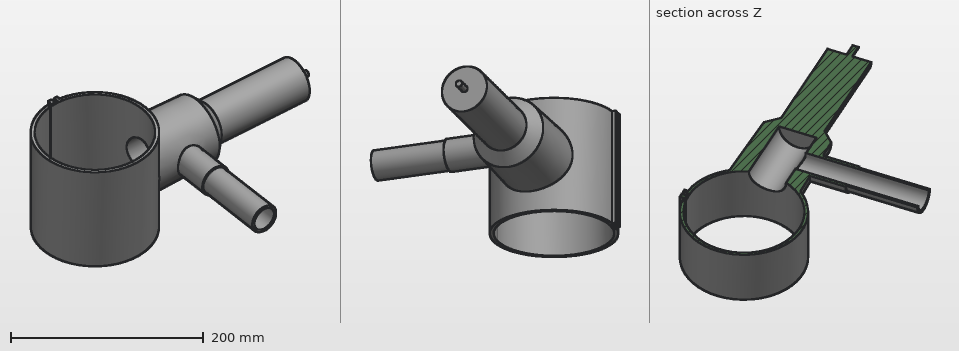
import cadquery as cq

RING_HEIGHT = 125.0
RING_INNER_R = 62.5
RING_WALL = 4.25
RING_OUTER_R = RING_INNER_R + RING_WALL

LUG_TIP_X = -70.5
LUG_ROOT_X = -RING_INNER_R - RING_WALL / 2
LUG_OUTER_Y = 6.2
SLOT_TOP_Y = 1.9
SLOT_BOTTOM_Y = -1.0
TONGUE_THICKNESS = 1.9
LAP_CLEARANCE = 0.2
LAP_INNER_X = -RING_INNER_R / 2
TONGUE_TIP_Y = -8.5
RECESS_END_Y = -10.2

BODY_BASE_R = 40.5
BODY_TOP_R = 38.5
BODY_BASE_Y = 50.0
SHOULDER_Y = 135.0
CONE_TOP_Y = 148.5
PIPE_R = 25.0
PIPE_END_Y = 265.5
STEM_R = 3.5
STEM_END_Y = 281.34
MAIN_BORE_R = 21.0

BRANCH_Y = 96.0
COLLAR_R = 17.5
COLLAR_END_X = 80.0
BRANCH_R = 16.0
BRANCH_END_X = 161.0
BRANCH_BORE_R = 13.0


def ring_cylinder(radius):
    """Solid cylinder on the ring axis, over the full ring height."""
    return cq.Workplane("XY").circle(radius).extrude(RING_HEIGHT / 2, both=True)


def ring_block(x_min, x_max, y_min, y_max):
    """Rectangular block over the full ring height."""
    return (
        cq.Workplane("XY")
        .center((x_min + x_max) / 2, (y_min + y_max) / 2)
        .rect(x_max - x_min, y_max - y_min)
        .extrude(RING_HEIGHT / 2, both=True)
    )


def y_cylinder(radius, y_start, y_end):
    """Cylinder on the main outlet axis."""
    return cq.Workplane("XZ", origin=(0, y_start, 0)).circle(radius).extrude(y_start - y_end)


def x_cylinder(radius, x_end):
    """Cylinder on the branch axis, starting on the main outlet axis."""
    return cq.Workplane("YZ", origin=(0, BRANCH_Y, 0)).circle(radius).extrude(x_end)


def main_outlet():
    """Tapered body, conical shoulder, pipe and thin end stem."""
    profile = [
        (0, BODY_BASE_Y),
        (BODY_BASE_R, BODY_BASE_Y),
        (BODY_TOP_R, SHOULDER_Y),
        (PIPE_R, CONE_TOP_Y),
        (PIPE_R, PIPE_END_Y),
        (STEM_R, PIPE_END_Y),
        (STEM_R, STEM_END_Y),
        (0, STEM_END_Y),
    ]
    return cq.Workplane("XY").polyline(profile).close().revolve(axisStart=(0, 0, 0), axisEnd=(0, 1, 0))


def side_branch():
    """Branch pipe with the thicker collar at its root."""
    return x_cylinder(COLLAR_R, COLLAR_END_X).union(x_cylinder(BRANCH_R, BRANCH_END_X))


def lugs():
    """Pair of full-height lugs beside the split."""
    return ring_block(LUG_TIP_X, LUG_ROOT_X, -LUG_OUTER_Y, LUG_OUTER_Y)


def lap_cut():
    """Space that parts the tongue from the outer lip and the lower lug."""
    tongue_outer_r = RING_INNER_R + TONGUE_THICKNESS
    lip_inner_r = tongue_outer_r + LAP_CLEARANCE
    slot = ring_block(LUG_TIP_X, LAP_INNER_X, SLOT_BOTTOM_Y, SLOT_TOP_Y)
    slot = slot.cut(ring_cylinder(tongue_outer_r))
    gap_side = ring_block(-RING_OUTER_R, LAP_INNER_X, RECESS_END_Y, SLOT_TOP_Y)
    gap = ring_cylinder(lip_inner_r).cut(ring_cylinder(tongue_outer_r)).intersect(gap_side)
    tip_side = ring_block(-RING_OUTER_R, LAP_INNER_X, RECESS_END_Y, TONGUE_TIP_Y)
    tip_gap = ring_cylinder(lip_inner_r).intersect(tip_side)
    return slot.union(gap).union(tip_gap)


result = (
    ring_cylinder(RING_OUTER_R)
    .union(lugs())
    .union(main_outlet())
    .union(side_branch())
    .cut(ring_cylinder(RING_INNER_R))
    .cut(lap_cut())
    .cut(y_cylinder(MAIN_BORE_R, 0, SHOULDER_Y))
    .cut(x_cylinder(BRANCH_BORE_R, BRANCH_END_X))
)